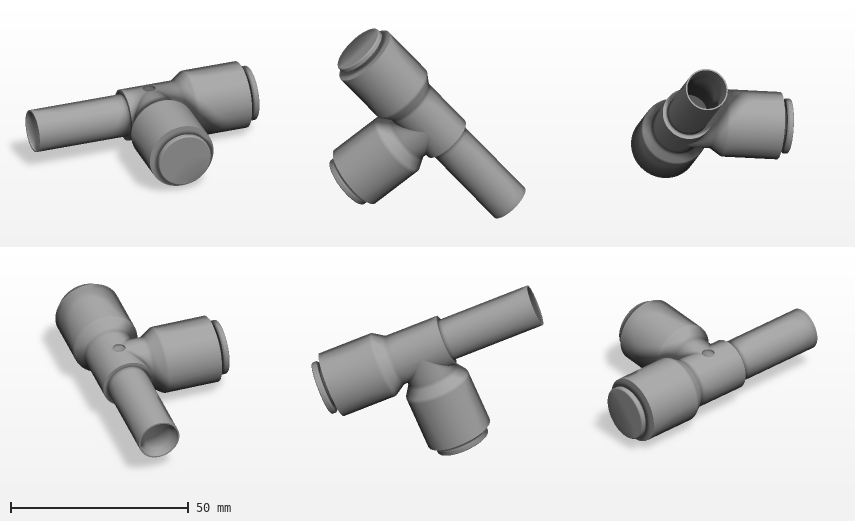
import cadquery as cq


body_radius = 7.3
body_bottom = 7.65

shoulder_start = 8.1
shoulder_end = 11.48
shoulder_start_rounding = 1.2
shoulder_end_rounding = 1.3

socket_radius = 9.5
socket_end = 27.4

collar_neck_radius = 5.6
flange_radius = 7.75
flange_start = 28.6
flange_chamfer = 0.4
flange_rounding = 0.4
collar_end = 30.34

stem_radius = 6.0
stem_wall = 0.4
stem_end = 34.73

recess_radius = 1.8
recess_depth = 0.6


def rod(radius, start, end):
    """Solid cylinder on the Y axis between two positions."""
    return cq.Workplane("XZ", origin=(0, start, 0)).circle(radius).extrude(start - end)


def round_rim(solid, position, radius):
    """Round the circular edge centred on the Y axis at the given position."""
    return solid.edges(cq.NearestToPointSelector((0, position, 0))).fillet(radius)


def make_socket():
    """Neck, conical shoulder and socket, turned about the Y axis."""
    profile = (
        cq.Workplane("XY")
        .lineTo(body_radius, 0)
        .lineTo(body_radius, shoulder_start)
        .lineTo(socket_radius, shoulder_end)
        .lineTo(socket_radius, socket_end)
        .lineTo(0, socket_end)
        .close()
    )
    turned = profile.revolve(360, (0, 0), (0, 1))
    blended = round_rim(turned, shoulder_start, shoulder_start_rounding)
    return round_rim(blended, shoulder_end, shoulder_end_rounding)


def make_collar():
    """Release collar: a short neck carrying a flange, chamfered on the socket side and rounded outside."""
    neck = rod(collar_neck_radius, socket_end, flange_start)
    flange = rod(flange_radius, flange_start, collar_end).faces("<Y").chamfer(flange_chamfer)
    return neck.union(round_rim(flange, collar_end, flange_rounding))


def make_stem():
    """Thin-walled tube stem on the -Y side, open at its free end."""
    outside = rod(stem_radius, -stem_end, -body_bottom)
    bore = rod(stem_radius - stem_wall, -stem_end, -body_bottom)
    return outside.cut(bore)


def make_recess():
    """Round cutter for the shallow flat-floored recess on top of the body."""
    floor = body_radius - recess_depth
    return cq.Workplane("XY").workplane(offset=floor).circle(recess_radius).extrude(body_radius - floor)


run_arm = make_socket().union(make_collar())
branch_arm = run_arm.rotate((0, 0, 0), (0, 0, 1), -90)
lower_body = rod(body_radius, -body_bottom, 0)

result = run_arm.union(lower_body).union(branch_arm).union(make_stem()).cut(make_recess())